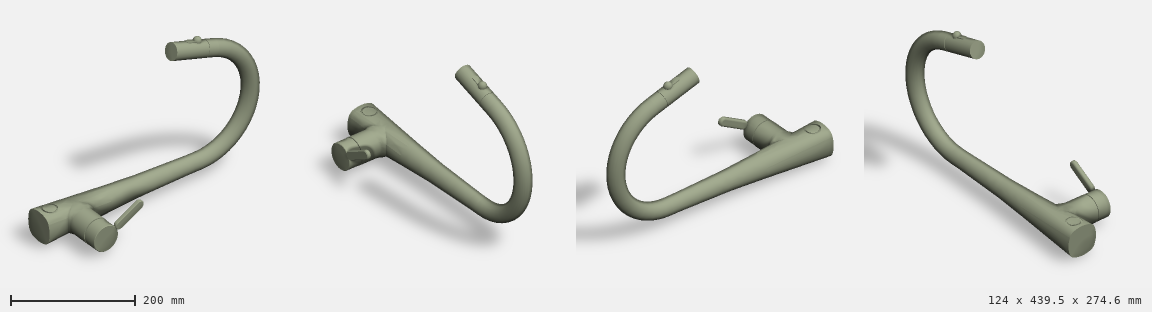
import cadquery as cq
import math

BASE_HALF = 28.5
BASE_SIDE_RADIUS = 48.5
BASE_CORNER_CENTRE = 11.0

BODY_END = 130.5
BODY_END_RADIUS = 22.0
NECK_END = 196.5
NECK_END_RADIUS = 18.0
TAPER_END = 301.0
PIPE_RADIUS = 15.5
BEND_START = 319.0
BEND_RADIUS = 105.0
OUTLET_TILT = 17.0
OUTLET_LENGTH = 88.5

HEAD_SEAM = 19.5
SEAM_WIDTH = 1.5
SEAM_DEPTH = 1.0
BALL_PLACE = 38.5
BALL_RADIUS = 7.5
BALL_RISE = 0.5
PAD_END = 62.5
PAD_WIDTH = 9.5
PAD_RISE = 1.0

BARREL_Y = 65.0
BARREL_RADIUS = 24.5
BARREL_END = 66.8
BLEND_SECTIONS = ((1.5, 34.3), (15.5, 33.0), (23.0, 30.8), (27.0, 26.5), (31.0, BARREL_RADIUS))
CAP_GAP = 1.8
CAP_GAP_DEPTH = 1.5
CAP_END = 93.0
CAP_RADIUS = 24.0
CAP_CHAMFER = 1.0

LEVER_ROOT = (91.0, 16.3)
LEVER_TIP = (132.0, 39.0)
LEVER_HALF_WIDTH = 8.0
LEVER_INNER = 87.0
LEVER_OUTER = 95.5
LEVER_INNER_ROUND = 3.5
LEVER_OUTER_CHAMFER = 1.5

BUTTON_Y = 21.0
RING_OUTER = 14.0
RING_INNER = 11.0
RING_FLOOR = 25.0


def along_y(y):
    """Plane across the body at distance y, with local axes along X and Z."""
    return cq.Plane(origin=(0, y, 0), xDir=(1, 0, 0), normal=(0, -1, 0))


def eight_arc_wire(y, half, side_radius, corner_centre):
    """Closed outline of four wide side arcs and four tangent corner arcs."""
    side_offset = side_radius - half
    side_half_angle = math.atan2(corner_centre, corner_centre + side_offset)
    corner_radius = side_radius - math.hypot(corner_centre, corner_centre + side_offset)
    side_end = (
        side_radius * math.sin(side_half_angle),
        side_radius * math.cos(side_half_angle) - side_offset,
    )
    corner_reach = corner_centre + corner_radius / math.sqrt(2)

    def turn(point, quarter):
        x, z = point
        for _ in range(quarter):
            x, z = z, -x
        return x, z

    outline = cq.Workplane(along_y(y)).moveTo(-side_end[0], side_end[1])
    for quarter in range(4):
        outline = outline.threePointArc(turn((0, half), quarter), turn(side_end, quarter))
        next_start = turn((-side_end[0], side_end[1]), quarter + 1)
        outline = outline.threePointArc(turn((corner_reach, corner_reach), quarter), next_start)
    return outline.close().val()


def circle_wire(y, radius):
    """Circle broken into eight arcs whose joints face those of the base outline."""
    joint_angle = math.atan2(BASE_CORNER_CENTRE, BASE_CORNER_CENTRE + BASE_SIDE_RADIUS - BASE_HALF)

    def point(angle):
        return radius * math.sin(angle), radius * math.cos(angle)

    outline = cq.Workplane(along_y(y)).moveTo(*point(-joint_angle))
    for quarter in range(4):
        middle = quarter * math.pi / 2
        outline = outline.threePointArc(point(middle), point(middle + joint_angle))
        outline = outline.threePointArc(
            point(middle + math.pi / 4), point(middle + math.pi / 2 - joint_angle)
        )
    return outline.close().val()


def make_body():
    base = eight_arc_wire(0, BASE_HALF, BASE_SIDE_RADIUS, BASE_CORNER_CENTRE)
    end = circle_wire(BODY_END, BODY_END_RADIUS)
    body = cq.Workplane(obj=cq.Solid.makeLoft([base, end], True))
    barrel = cq.Workplane("YZ").center(BARREL_Y, 0).circle(BARREL_RADIUS).extrude(BARREL_END)
    return body.union(barrel).union(make_barrel_blend())


def make_barrel_blend():
    """Flare that widens the barrel along Y where it runs into the body."""
    sections = [
        cq.Wire.makeEllipse(
            half_length, BARREL_RADIUS, cq.Vector(x, BARREL_Y, 0), cq.Vector(1, 0, 0), cq.Vector(0, 1, 0)
        )
        for x, half_length in BLEND_SECTIONS
    ]
    return cq.Workplane(obj=cq.Solid.makeLoft(sections))


def make_neck():
    return (
        cq.Workplane("XY")
        .moveTo(0, BODY_END)
        .lineTo(BODY_END_RADIUS, BODY_END)
        .lineTo(NECK_END_RADIUS, NECK_END)
        .lineTo(PIPE_RADIUS, TAPER_END)
        .lineTo(PIPE_RADIUS, BEND_START)
        .lineTo(0, BEND_START)
        .close()
        .revolve(360, (0, 0, 0), (0, 1, 0))
    )


def make_bend():
    return (
        cq.Workplane("XZ", origin=(0, BEND_START, 0))
        .circle(PIPE_RADIUS)
        .revolve(180 - OUTLET_TILT, (0, BEND_RADIUS, 0), (1, BEND_RADIUS, 0))
    )


def outlet_plane(place, rise=0.0, facing_up=False):
    """Plane on the outlet axis, facing along the outlet or out through its top."""
    tilt = math.radians(OUTLET_TILT)
    axis = cq.Vector(0, -math.cos(tilt), math.sin(tilt))
    up = cq.Vector(0, math.sin(tilt), math.cos(tilt))
    bend_end = cq.Vector(0, BEND_START, BEND_RADIUS) + up * BEND_RADIUS
    origin = bend_end + axis * place + up * rise
    if facing_up:
        return cq.Plane(origin=origin, xDir=axis, normal=up)
    return cq.Plane(origin=origin, xDir=cq.Vector(1, 0, 0), normal=axis)


def make_outlet():
    outlet = cq.Workplane(outlet_plane(0)).circle(PIPE_RADIUS).extrude(OUTLET_LENGTH)
    seam = (
        cq.Workplane(outlet_plane(HEAD_SEAM))
        .circle(PIPE_RADIUS)
        .circle(PIPE_RADIUS - SEAM_DEPTH)
        .extrude(SEAM_WIDTH)
    )
    pad_length = PAD_END - BALL_PLACE + PAD_WIDTH / 2
    pad_middle = PAD_END - pad_length / 2
    pad = (
        cq.Workplane(outlet_plane(pad_middle, facing_up=True))
        .slot2D(pad_length, PAD_WIDTH)
        .extrude(PIPE_RADIUS + PAD_RISE)
    )
    ball_plane = outlet_plane(BALL_PLACE, PIPE_RADIUS + BALL_RISE, facing_up=True)
    ball = cq.Workplane(ball_plane).sphere(BALL_RADIUS)
    return outlet.cut(seam).union(ball.union(pad))


def make_cap():
    core_radius = CAP_RADIUS - CAP_GAP_DEPTH
    core = (
        cq.Workplane("YZ", origin=(BARREL_END, BARREL_Y, 0)).circle(core_radius).extrude(CAP_GAP)
    )
    cap_start = BARREL_END + CAP_GAP
    cap = (
        cq.Workplane("YZ", origin=(cap_start, BARREL_Y, 0))
        .circle(CAP_RADIUS)
        .extrude(CAP_END - cap_start)
        .faces(">X")
        .chamfer(CAP_CHAMFER)
    )
    return core.union(cap)


def make_lever():
    run = LEVER_TIP[0] - LEVER_ROOT[0]
    climb = LEVER_TIP[1] - LEVER_ROOT[1]
    length = math.hypot(run, climb) + 2 * LEVER_HALF_WIDTH
    middle = ((LEVER_TIP[0] + LEVER_ROOT[0]) / 2, (LEVER_TIP[1] + LEVER_ROOT[1]) / 2)
    return (
        cq.Workplane("YZ", origin=(LEVER_INNER, 0, 0))
        .center(*middle)
        .slot2D(length, 2 * LEVER_HALF_WIDTH, math.degrees(math.atan2(climb, run)))
        .extrude(LEVER_OUTER - LEVER_INNER)
        .faces("<X")
        .edges()
        .fillet(LEVER_INNER_ROUND)
        .faces(">X")
        .edges()
        .chamfer(LEVER_OUTER_CHAMFER)
    )


def make_ring_groove():
    return (
        cq.Workplane("XY", origin=(0, BUTTON_Y, RING_FLOOR))
        .circle(RING_OUTER)
        .circle(RING_INNER)
        .extrude(BASE_HALF - RING_FLOOR)
    )


result = make_body().cut(make_ring_groove())
for piece in (make_neck(), make_bend(), make_outlet(), make_cap(), make_lever()):
    result = result.union(piece)